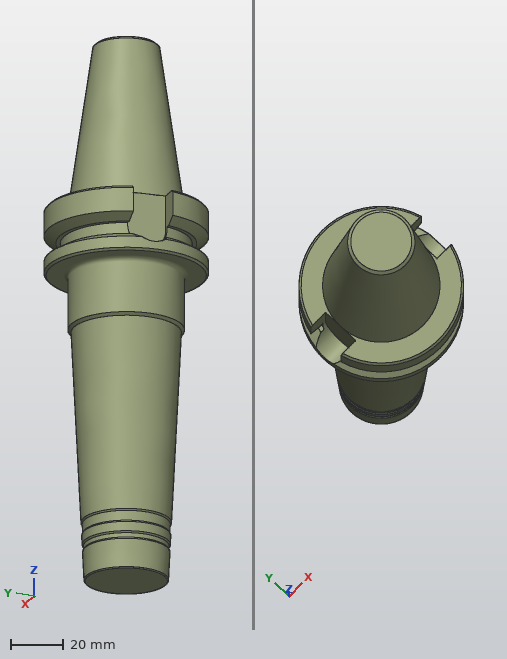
import cadquery as cq
import math

total_length = 215.5

shank_taper = 7 / 24
shank_base_radius = 22.5
shank_tip_chamfer = 1.0

flange_radius = 31.5
flange_top = 148.8
flange_bottom = 123.0
flange_top_chamfer = 0.9
flange_bottom_chamfer = 0.9
groove_radius = 25.2
groove_flank_radius = 27.0
groove_top = 136.0
groove_bottom = 131.0
groove_flank_angle = 30

slot_width = 16.0
slot_floor_distance = 22.5
slot_bottom = 126.9

neck_radius = 44.5 / 2
neck_bottom = 101.0
neck_fillet = 1.7
neck_chamfer = 1.0

nose_end_radius = 16.2
nose_top_radius = 21.1
nose_end_chamfer = 0.5
nose_groove_depth = 0.5
nose_groove_flare = 0.6
nose_grooves = [(11.6, 14.6), (18.3, 23.5)]

nose_top = neck_bottom - neck_chamfer


def shank_radius(height):
    return shank_base_radius - (height - flange_top) * shank_taper / 2


def nose_radius(height):
    return nose_end_radius + (nose_top_radius - nose_end_radius) * height / nose_top


def make_body():
    """Revolve the half section of the whole holder."""
    flank_rise = (flange_radius - groove_flank_radius) * math.tan(math.radians(groove_flank_angle))
    tip_radius = shank_radius(total_length)
    fillet_sag = neck_fillet * (1 - math.sqrt(0.5))

    section = cq.Workplane("XZ").lineTo(nose_end_radius - nose_end_chamfer, 0)
    section = section.lineTo(nose_radius(nose_end_chamfer), nose_end_chamfer)
    for bottom, top in nose_grooves:
        section = section.lineTo(nose_radius(bottom), bottom)
        for floor_height in (bottom + nose_groove_flare, top - nose_groove_flare):
            section = section.lineTo(nose_radius(floor_height) - nose_groove_depth, floor_height)
        section = section.lineTo(nose_radius(top), top)
    section = (
        section.lineTo(nose_top_radius, nose_top)
        .lineTo(neck_radius, neck_bottom)
        .lineTo(neck_radius, flange_bottom - neck_fillet)
        .threePointArc(
            (neck_radius + fillet_sag, flange_bottom - fillet_sag),
            (neck_radius + neck_fillet, flange_bottom),
        )
        .lineTo(flange_radius - flange_bottom_chamfer, flange_bottom)
        .lineTo(flange_radius, flange_bottom + flange_bottom_chamfer)
        .lineTo(flange_radius, groove_bottom - flank_rise)
        .lineTo(groove_flank_radius, groove_bottom)
        .lineTo(groove_radius, groove_bottom)
        .lineTo(groove_radius, groove_top)
        .lineTo(groove_flank_radius, groove_top)
        .lineTo(flange_radius, groove_top + flank_rise)
        .lineTo(flange_radius, flange_top - flange_top_chamfer)
        .lineTo(flange_radius - flange_top_chamfer, flange_top)
        .lineTo(shank_base_radius, flange_top)
        .lineTo(shank_radius(total_length - shank_tip_chamfer), total_length - shank_tip_chamfer)
        .lineTo(tip_radius - shank_tip_chamfer, total_length)
        .lineTo(0, total_length)
        .close()
    )
    return section.revolve(360, (0, 0, 0), (0, 1, 0))


def make_drive_slot(side):
    """Round-bottomed slot cutter on the +X (side=1) or -X (side=-1) flank."""
    half_width = slot_width / 2
    arc_center = slot_bottom + half_width
    return (
        cq.Workplane("YZ", origin=(side * slot_floor_distance, 0, 0))
        .moveTo(-half_width, flange_top)
        .lineTo(-half_width, arc_center)
        .threePointArc((0, slot_bottom), (half_width, arc_center))
        .lineTo(half_width, flange_top)
        .close()
        .extrude(side * flange_radius)
    )


result = make_body()
for slot_side in (-1, 1):
    result = result.cut(make_drive_slot(slot_side))